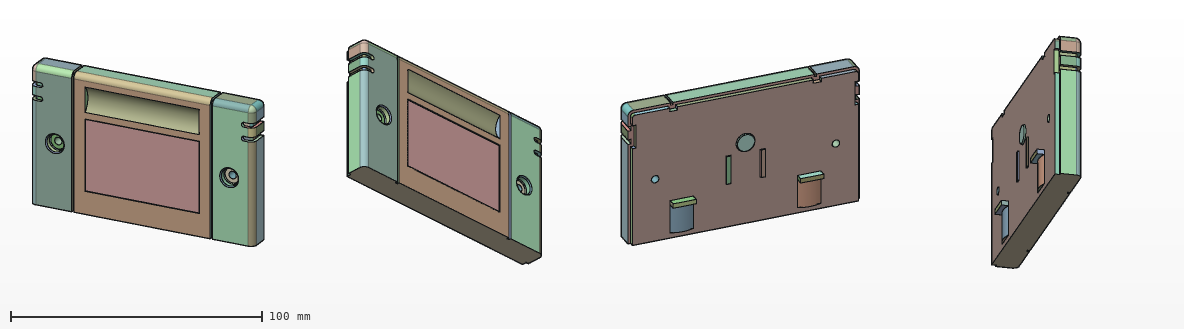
import cadquery as cq
import math

width = 100.0
height = 60.0
shell_depth = 9.0
edge_radius = 2.5

lip_depth = 2.0
lip_inset = 1.2
back_face = shell_depth + lip_depth

seam_x = 31.0
seam_width = 1.0
seam_depth = 1.0
grip_heights = (46.0, 52.0)
grip_width = 2.0
grip_depth = 1.5
grip_length = 5.5

relief_margin = 1.2
relief_depth = 1.5

window_width = 51.0
scoop_bottom = 44.0
scoop_top = 54.9
scoop_depth = 2.5
label_bottom = 10.0
label_top = 41.0
label_depth = 0.5

screw_x = 39.0
screw_z = 28.0
screw_diameter = 3.2
head_diameter = 7.5
head_depth = 3.0
head_chamfer = 0.5
seat_bevel = 0.4

tab_width = 10.0
tab_x = 27.5
tab_bottom = 15.0
tab_thickness = 2.0
tab_length = 3.0

pad_bottom = 2.4
pad_rise = 1.0

button_diameter = 8.1
button_z = 36.6
button_rise = 0.6
side_slope = 0.3
bar_outer_x = 8.4
bar_width = 2.1
bar_bottom = 19.6
bar_top = 32.1

SIDES = (-1, 1)


def block(x_min, x_max, y_min, y_max, z_min, z_max):
    """Box between two opposite corners."""
    size = (x_max - x_min, y_max - y_min, z_max - z_min)
    return cq.Workplane("XY").box(*size, centered=False).translate((x_min, y_min, z_min))


def slab(center_x, slab_width, y_min, y_max, z_min, z_max):
    """Box centred on a given X."""
    half = slab_width / 2
    return block(center_x - half, center_x + half, y_min, y_max, z_min, z_max)


def rounded_shell(inset):
    """Shell solid stepped in from its sides, top and front, with concentric roundings."""
    half = width / 2 - inset
    shell = block(-half, half, inset, shell_depth, 0, height - inset)
    return shell.edges("(>Z and |Y) or (<Y and (not <Z))").fillet(edge_radius - inset)


def seam_grooves(shell):
    """Two narrow grooves over the front and top."""
    skin = shell.cut(rounded_shell(seam_depth))
    bands = cq.Workplane("XY")
    for side in SIDES:
        bands = bands.add(slab(side * seam_x, seam_width, 0, shell_depth, 0, height))
    return skin.intersect(bands.combine())


def grip_grooves(shell):
    """Round-ended grooves that wrap from the front around each side."""
    skin = shell.cut(rounded_shell(grip_depth))
    slot_length = 2 * grip_length
    centers = [(side * width / 2, z) for side in SIDES for z in grip_heights]
    bands = cq.Workplane("XZ").pushPoints(centers).slot2D(slot_length, grip_width).extrude(-shell_depth)
    return skin.intersect(bands)


def rear_lip():
    """Rear lip with its top corners rounded and reliefs behind the grooves."""
    half = width / 2 - lip_inset
    top = height - lip_inset
    lip = block(-half, half, shell_depth, back_face, 0, top)
    lip = lip.edges(">Z and |Y").fillet(edge_radius - lip_inset)
    relief_bottom = grip_heights[0] - grip_width / 2 - relief_margin
    relief_top = grip_heights[-1] + grip_width / 2 + relief_margin
    for side in SIDES:
        seam_relief = slab(
            side * seam_x, seam_width + 2 * relief_margin,
            shell_depth, back_face, top - relief_depth, top,
        )
        grip_relief = slab(side * half, 2 * relief_depth, shell_depth, back_face, relief_bottom, relief_top)
        lip = lip.cut(seam_relief).cut(grip_relief)
    return lip


def finger_scoop():
    """Cylindrical scoop that runs along X."""
    middle = (scoop_top + scoop_bottom) / 2
    profile = (
        cq.Workplane("YZ")
        .moveTo(0, scoop_bottom)
        .threePointArc((scoop_depth, middle), (0, scoop_top))
        .close()
    )
    return profile.extrude(window_width / 2, both=True)


def screw_hole(x):
    """Through hole and screw-head counterbore, chamfered at its rim and bevelled at its seat."""
    head_radius = head_diameter / 2
    screw_radius = screw_diameter / 2
    rim_radius = head_radius + head_chamfer
    profile = [
        (0, 0),
        (rim_radius, 0),
        (head_radius, head_chamfer),
        (head_radius, head_depth - seat_bevel),
        (head_radius - seat_bevel, head_depth),
        (screw_radius, head_depth),
        (screw_radius, back_face),
        (0, back_face),
    ]
    tool = cq.Workplane("XY").polyline(profile).close().revolve(360, (0, 0, 0), (0, 1, 0))
    return tool.translate((x, 0, screw_z))


def curved_pad(x):
    """Low barrel-shaped pad below a tab."""
    half = tab_width / 2
    profile = (
        cq.Workplane("XY", origin=(0, 0, pad_bottom))
        .moveTo(x - half, back_face)
        .threePointArc((x, back_face + pad_rise), (x + half, back_face))
        .close()
    )
    return profile.extrude(tab_bottom - pad_bottom)


def side_bar(side):
    """Low bar with a sloped inner side."""
    outer = side * bar_outer_x
    inner = side * (bar_outer_x - bar_width)
    profile = [
        (outer, back_face),
        (outer, back_face + button_rise),
        (inner + side * side_slope, back_face + button_rise),
        (inner, back_face),
    ]
    outline = cq.Workplane("XY", origin=(0, 0, bar_bottom)).polyline(profile).close()
    return outline.extrude(bar_top - bar_bottom)


def button():
    """Round button that narrows slightly away from the back."""
    taper = math.degrees(math.atan(side_slope / button_rise))
    sketch = cq.Workplane("XZ", origin=(0, back_face, button_z)).circle(button_diameter / 2)
    return sketch.extrude(-button_rise, taper=taper)


shell = rounded_shell(0)
result = shell.cut(seam_grooves(shell)).cut(grip_grooves(shell)).union(rear_lip())
result = result.cut(finger_scoop())
result = result.cut(slab(0, window_width, 0, label_depth, label_bottom, label_top))
result = result.union(button())
for side in SIDES:
    tab = slab(
        side * tab_x, tab_width,
        back_face, back_face + tab_length, tab_bottom, tab_bottom + tab_thickness,
    )
    result = result.cut(screw_hole(side * screw_x))
    result = result.union(tab).union(curved_pad(side * tab_x)).union(side_bar(side))